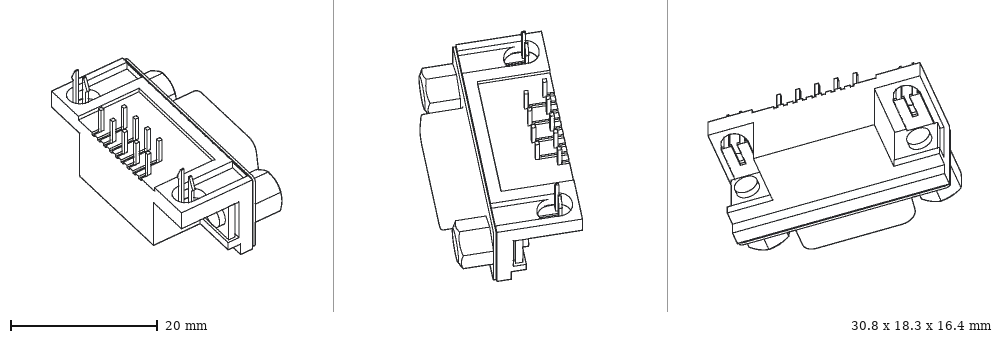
import cadquery as cq
import math


WIDTH = 30.8
HEIGHT = 12.6
HOUSING_DEPTH = 11.9
REAR_BLOCK_WIDTH = 17.55
REAR_BLOCK_BOTTOM = 1.9
FLANGE_BACK = 9.9
POCKET_FRONT = 9.6
POCKET_BOTTOM = 3.25
POCKET_TOP = 9.7
LEDGE_BACK = 7.8

GROOVE_WIDTH = 0.1
GROOVE_DEPTH = 0.25
PLATE_BACK = HOUSING_DEPTH + GROOVE_WIDTH
PLATE_THICKNESS = 0.37
PLATE_FRONT = PLATE_BACK + PLATE_THICKNESS
PLATE_CORNER_RADIUS = 0.75
MATING_AXIS_Z = 6.25
SHELL_FRONT = 18.3
SHELL_HEIGHT = 7.92
SHELL_HALF_HEIGHT = SHELL_HEIGHT / 2
SHELL_HALF_WIDTH = 8.23
SHELL_CORNER_RADIUS = 2.0
SHELL_SIDE_ANGLE = math.radians(10)
SHELL_FRONT_FILLET = 0.4
SHELL_ROOT_FILLET = 0.3

MOUNT_X = 12.5
HEX_FLATS = 5.75
HEX_CORNERS = HEX_FLATS / math.cos(math.radians(30))
HEX_FRONT = 17.13
HEX_CHAMFER_ANGLE = math.radians(30)
HEX_FACE_RADIUS = 2.35
SCREW_DIAMETER = 3.33
SCREW_BACK = 7.25
NUT_OUTER_X = 14.97
NUT_BACK = 8.2

STRAP_WIDTH = 3.88
STRAP_THICKNESS = 0.4
NUT_FRONT = POCKET_FRONT - STRAP_THICKNESS
STRAP_BACK = 2.62
STRAP_SLOT_WIDTH = 0.8
STRAP_SLOT_FRONT = 6.15
PRONG_THICKNESS = 0.43
PRONG_INNER = 0.8
PRONG_TIP = 1.02
PRONG_OUTER = 1.5
BARB_OUTER = 1.85
BARB_SHOULDER_Z = 14.2
BARB_Z = 14.55
PRONG_TOP = 16.35
OPENING_WIDTH = 3.67
OPENING_BACK = 0.9
OPENING_FRONT = 5.75
CHANNEL_DEPTH = 1.23

RECESS_WIDTH = 18.0
RECESS_FRONT = 10.1
RECESS_DEPTH = 0.65
PIN_COUNT = 9
PIN_PITCH = 1.4
PIN_SIZE = 0.55
PIN_TOP = 15.75
PIN_SLOT_BOTTOM = 11.58
REAR_ROW_FRONT = 1.65
FRONT_ROW_FRONT = 4.5


def block(x_range, y_range, z_range):
    """Box spanning the given (low, high) ranges."""
    spans = (x_range, y_range, z_range)
    sizes = [high - low for low, high in spans]
    corner = tuple(low for low, high in spans)
    return cq.Workplane("XY").box(*sizes, centered=False).translate(corner)


def mid_block(center_x, width, y_range, z_range):
    """Box of the given width centred on center_x."""
    return block((center_x - width / 2, center_x + width / 2), y_range, z_range)


def facing_front(y, x=0.0):
    """Workplane on the mating axis; local X is -X, extrusion goes toward +Y."""
    return cq.Workplane("XZ", origin=(x, y, MATING_AXIS_Z)).transformed(rotate=(0, 180, 0))


def housing():
    """Side profile across the full width plus the deep centre block."""
    profile = [
        (HOUSING_DEPTH, 0),
        (HOUSING_DEPTH, HEIGHT),
        (0, HEIGHT),
        (0, POCKET_TOP),
        (POCKET_FRONT, POCKET_TOP),
        (POCKET_FRONT, POCKET_BOTTOM),
        (LEDGE_BACK, POCKET_BOTTOM),
        (LEDGE_BACK, REAR_BLOCK_BOTTOM),
        (FLANGE_BACK, REAR_BLOCK_BOTTOM),
        (FLANGE_BACK, 0),
    ]
    sides = cq.Workplane("YZ").polyline(profile).close().extrude(WIDTH / 2, both=True)
    center = mid_block(0, REAR_BLOCK_WIDTH, (0, HOUSING_DEPTH), (REAR_BLOCK_BOTTOM, HEIGHT))
    recess = mid_block(0, RECESS_WIDTH, (0, RECESS_FRONT), (HEIGHT - RECESS_DEPTH, HEIGHT))
    return sides.union(center).cut(recess)


def boardlock_opening(center_x):
    """Oblong hole through the top wall and the open channel leading forward from it."""
    length = OPENING_FRONT - OPENING_BACK
    hole = (
        cq.Workplane("XY", origin=(center_x, (OPENING_FRONT + OPENING_BACK) / 2, POCKET_TOP))
        .slot2D(length, OPENING_WIDTH, 90)
        .extrude(HEIGHT - POCKET_TOP)
    )
    channel_back = OPENING_FRONT - OPENING_WIDTH / 2
    channel = mid_block(
        center_x, OPENING_WIDTH, (channel_back, HOUSING_DEPTH), (HEIGHT - CHANNEL_DEPTH, HEIGHT)
    )
    return hole.union(channel)


def plate():
    """Face plate with rounded corners, separated from the housing by a shallow edge groove."""
    sheet = mid_block(0, WIDTH, (PLATE_BACK, PLATE_FRONT), (0, HEIGHT))
    groove_floor = mid_block(
        0,
        WIDTH - 2 * GROOVE_DEPTH,
        (HOUSING_DEPTH, PLATE_BACK),
        (GROOVE_DEPTH, HEIGHT - GROOVE_DEPTH),
    )
    return sheet.edges("|Y").fillet(PLATE_CORNER_RADIUS).union(groove_floor)


def shell():
    """D-shaped shell, wider at the bottom, with rounded corners and front rim."""
    cos_side = math.cos(SHELL_SIDE_ANGLE)
    tan_side = math.tan(SHELL_SIDE_ANGLE)
    arc_center_x = SHELL_HALF_WIDTH - SHELL_CORNER_RADIUS
    bottom_x = arc_center_x + SHELL_CORNER_RADIUS * (1 / cos_side + tan_side)
    top_x = bottom_x - SHELL_HEIGHT * tan_side
    outline = [
        (-bottom_x, -SHELL_HALF_HEIGHT),
        (bottom_x, -SHELL_HALF_HEIGHT),
        (top_x, SHELL_HALF_HEIGHT),
        (-top_x, SHELL_HALF_HEIGHT),
    ]
    body = (
        facing_front(PLATE_FRONT)
        .polyline(outline)
        .close()
        .extrude(SHELL_FRONT - PLATE_FRONT)
        .edges("|Y")
        .fillet(SHELL_CORNER_RADIUS)
    )
    return body.faces(">Y").edges().fillet(SHELL_FRONT_FILLET)


def face_with_shell():
    """Plate and shell joined by a small flare."""
    joined = plate().union(shell())
    margin = PLATE_CORNER_RADIUS
    half_reach = PLATE_THICKNESS / 2
    root_edges = cq.selectors.BoxSelector(
        (-WIDTH / 2 + margin, PLATE_FRONT - half_reach, margin),
        (WIDTH / 2 - margin, PLATE_FRONT + half_reach, HEIGHT - margin),
    )
    return joined.edges(root_edges).fillet(SHELL_ROOT_FILLET)


def jackscrew(center_x):
    """Hex standoff with a conical front chamfer and the screw end behind the plate."""
    corner_radius = HEX_CORNERS / 2
    chamfer_length = (corner_radius - HEX_FACE_RADIUS) * math.tan(HEX_CHAMFER_ANGLE)
    hexagon = (
        facing_front(PLATE_FRONT, center_x)
        .transformed(rotate=(0, 0, 90))
        .polygon(6, HEX_CORNERS)
        .extrude(HEX_FRONT - PLATE_FRONT)
    )
    envelope = (
        facing_front(PLATE_FRONT, center_x)
        .circle(corner_radius)
        .extrude(HEX_FRONT - PLATE_FRONT)
        .faces(">Y")
        .chamfer(chamfer_length, corner_radius - HEX_FACE_RADIUS)
    )
    screw = (
        facing_front(SCREW_BACK, center_x)
        .circle(SCREW_DIAMETER / 2)
        .extrude(PLATE_FRONT - SCREW_BACK)
    )
    return hexagon.intersect(envelope).union(screw)


def nut(side):
    """Nut block in the side pocket, full height beside the strap and lower under it."""
    strap_edge = MOUNT_X - STRAP_WIDTH / 2
    low_x = sorted((side * REAR_BLOCK_WIDTH / 2, side * NUT_OUTER_X))
    high_x = sorted((side * REAR_BLOCK_WIDTH / 2, side * strap_edge))
    low = block(low_x, (NUT_BACK, NUT_FRONT), (POCKET_BOTTOM, POCKET_TOP - STRAP_THICKNESS))
    high = block(high_x, (NUT_BACK, NUT_FRONT), (POCKET_BOTTOM, POCKET_TOP))
    return low.union(high)


def boardlock(center_x):
    """L-shaped strap with two barbed prongs rising from its slotted rear end."""
    strap_bottom = POCKET_TOP - STRAP_THICKNESS
    foot = mid_block(center_x, STRAP_WIDTH, (STRAP_BACK, POCKET_FRONT), (strap_bottom, POCKET_TOP))
    slot = mid_block(
        center_x, STRAP_SLOT_WIDTH, (STRAP_BACK, STRAP_SLOT_FRONT), (strap_bottom, POCKET_TOP)
    )
    leg = mid_block(center_x, STRAP_WIDTH, (NUT_FRONT, POCKET_FRONT), (POCKET_BOTTOM, POCKET_TOP))
    outline = [
        (PRONG_INNER, strap_bottom),
        (PRONG_INNER, PRONG_TOP),
        (PRONG_TIP, PRONG_TOP),
        (BARB_OUTER, BARB_Z),
        (PRONG_OUTER, BARB_SHOULDER_Z),
        (PRONG_OUTER, strap_bottom),
    ]
    prong = (
        cq.Workplane("XZ", origin=(0, STRAP_BACK, 0))
        .polyline(outline)
        .close()
        .extrude(-PRONG_THICKNESS)
    )
    prongs = prong.union(prong.mirror("YZ")).translate((center_x, 0, 0))
    return foot.cut(slot).union(leg).union(prongs)


result = housing().union(face_with_shell())

for side in (-1, 1):
    mount_x = side * MOUNT_X
    result = result.cut(boardlock_opening(mount_x))
    result = result.union(nut(side)).union(boardlock(mount_x)).union(jackscrew(mount_x))

for index in range(PIN_COUNT):
    pin_x = (index - (PIN_COUNT - 1) / 2) * PIN_PITCH
    pin_front = REAR_ROW_FRONT if index % 2 == 0 else FRONT_ROW_FRONT
    pin_slot = mid_block(pin_x, PIN_SIZE, (0, pin_front), (PIN_SLOT_BOTTOM, HEIGHT))
    pin = mid_block(pin_x, PIN_SIZE, (pin_front - PIN_SIZE, pin_front), (PIN_SLOT_BOTTOM, PIN_TOP))
    result = result.cut(pin_slot).union(pin)